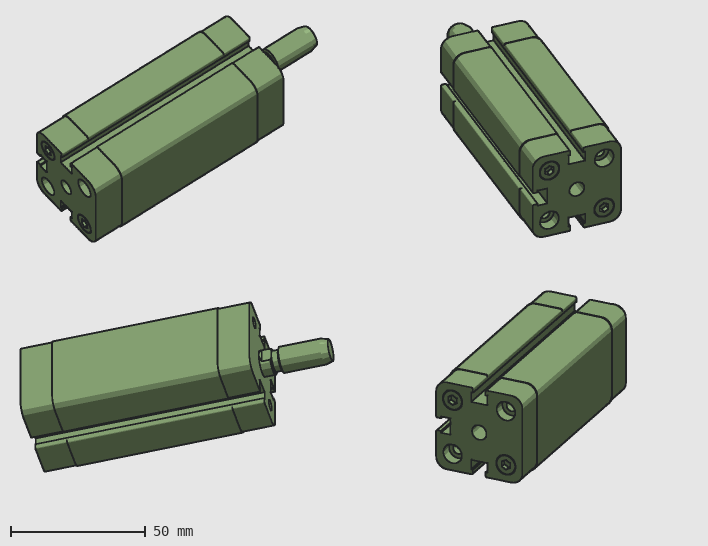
import cadquery as cq
import math


total_length = 114.5
body_length = 88.2
cap_length = 12.3
profile_side = 36.1
cap_inset = 0.2
corner_radius = 4.6
profile_half = profile_side / 2
cap_side = profile_side - 2 * cap_inset
tube_length = body_length - 2 * cap_length

slot_mouth_width = 5.2
slot_width = 6.6
slot_lip_depth = 2.3
slot_depth = 6.2
slot_mouth_radius = 0.7

screw_pitch = 22.0
mounting_hole_diameter = 4.1
mounting_bore_diameter = 7.5
mounting_bore_depth = 4.8
screw_recess_diameter = 8.0
screw_head_diameter = 7.5
screw_head_height = 4.6
hex_across_flats = 3.4
hex_depth = 2.3
center_hole_diameter = 6.0
center_hole_depth = cap_length

rod_diameter = 10.0
neck_diameter = 8.0
tip_diameter = 8.4
tip_taper_length = 2.9
thread_length = 18.8
thread_runout_length = 0.6
collar_length = 4.6
collar_chamfer = 0.5
wrench_flat_width = 8.0


def cross_section_plane(y):
    """Plane across the axis at y: local x is X, local y is Z, and extrusion runs towards +Y."""
    return cq.Workplane(cq.Plane(origin=(0, y, 0), xDir=(1, 0, 0), normal=(0, -1, 0)))


def cylinder(diameter, length, x=0.0, z=0.0):
    """Cylinder along Y that starts at the front face."""
    return cross_section_plane(0).center(x, z).circle(diameter / 2).extrude(-length)


def slot_cutter(side, y_start, length):
    """T-slot in the +Z face of a square bar, with rounded mouth edges."""
    surface = side / 2
    mouth = slot_mouth_width / 2
    half_width = slot_width / 2
    lip = profile_half - slot_lip_depth
    floor = profile_half - slot_depth
    round_start = surface - slot_mouth_radius
    arc_offset = slot_mouth_radius * (1 - math.sqrt(0.5))
    arc_x = mouth + arc_offset
    arc_z = surface - arc_offset
    return (
        cross_section_plane(y_start)
        .moveTo(-half_width, floor)
        .lineTo(half_width, floor)
        .lineTo(half_width, lip)
        .lineTo(mouth, lip)
        .lineTo(mouth, round_start)
        .threePointArc((arc_x, arc_z), (mouth + slot_mouth_radius, surface))
        .lineTo(-mouth - slot_mouth_radius, surface)
        .threePointArc((-arc_x, arc_z), (-mouth, round_start))
        .lineTo(-mouth, lip)
        .lineTo(-half_width, lip)
        .close()
        .extrude(-length)
    )


def slotted_bar(side, y_start, length):
    """Rounded square bar with T-slots in its +Z, -Z and -X faces; the +X face is plain."""
    bar = cross_section_plane(y_start).rect(side, side).extrude(-length)
    bar = bar.edges("|Y").fillet(corner_radius)
    cutter = slot_cutter(side, y_start, length)
    for angle in (0, 180, -90):
        bar = bar.cut(cutter.rotate((0, 0, 0), (0, 1, 0), angle))
    return bar


def mounting_hole(x, z):
    """Counterbored hole through the whole body."""
    hole = cylinder(mounting_hole_diameter, body_length, x, z)
    return hole.union(cylinder(mounting_bore_diameter, mounting_bore_depth, x, z))


def screw_recess(x, z):
    """Narrow ring gap around a flush screw head, plus its hexagon socket."""
    gap = cylinder(screw_recess_diameter, screw_head_height, x, z)
    gap = gap.cut(cylinder(screw_head_diameter, screw_head_height, x, z))
    hex_diameter = hex_across_flats / math.cos(math.pi / 6)
    socket = cross_section_plane(0).polygon(6, hex_diameter).extrude(-hex_depth)
    socket = socket.rotate((0, 0, 0), (0, 1, 0), 90).translate((x, 0, z))
    return gap.union(socket)


def piston_rod():
    """Turned rod with tapered tip, neck and a collar that carries two wrench flats."""
    radius = rod_diameter / 2
    neck_radius = neck_diameter / 2
    thread_end = total_length - thread_length
    collar_end = body_length + collar_length
    rod = (
        cq.Workplane("XY")
        .moveTo(0, body_length)
        .lineTo(radius, body_length)
        .lineTo(radius, collar_end - collar_chamfer)
        .lineTo(radius - collar_chamfer, collar_end)
        .lineTo(neck_radius, collar_end)
        .lineTo(neck_radius, thread_end - thread_runout_length)
        .lineTo(radius, thread_end)
        .lineTo(radius, total_length - tip_taper_length)
        .lineTo(tip_diameter / 2, total_length)
        .lineTo(0, total_length)
        .close()
        .revolve(360, (0, 0, 0), (0, 1, 0))
    )
    flat = wrench_flat_width / 2
    flat_cutter = (
        cq.Workplane("XY")
        .moveTo(radius, body_length)
        .lineTo(flat, body_length + radius - flat)
        .lineTo(flat, collar_end)
        .lineTo(radius, collar_end)
        .close()
        .extrude(radius, both=True)
    )
    return rod.cut(flat_cutter).cut(flat_cutter.mirror("YZ"))


body = slotted_bar(profile_side, cap_length, tube_length)
for cap_start in (0, body_length - cap_length):
    body = body.union(slotted_bar(cap_side, cap_start, cap_length))

offset = screw_pitch / 2
for sign in (-1, 1):
    body = body.cut(mounting_hole(sign * offset, sign * offset))
    body = body.cut(screw_recess(sign * offset, -sign * offset))
body = body.cut(cylinder(center_hole_diameter, center_hole_depth))

result = body.union(piston_rod())